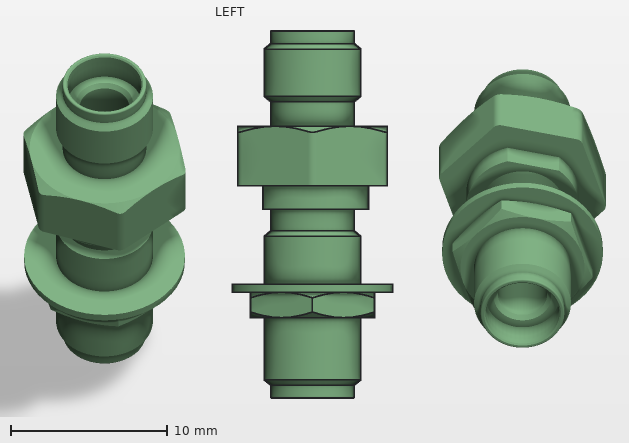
import cadquery as cq
import math

total_length = 23.47
thread_radius = 3.1
neck_radius = 2.68
thread_chamfer = 0.35
end_neck_length = 0.82

lip_radius = 0.1

upper_thread_bottom = 18.95
lower_thread_top = 10.68

body_hex_bottom = 13.57
body_hex_top = 17.37
body_hex_across_flats = 9.58
body_hex_corner_radius = 0.55

collar_radius = 3.6
collar_flat_distance = 3.17
collar_height = 1.5

washer_radius = 5.15
washer_top = 7.28
washer_thickness = 0.52
nut_height = 1.62
nut_across_flats = 7.93

hex_bevel_angle = 30

through_radius = 1.57
countersink_radius = 1.83
socket_radius = 2.37
socket_mouth_radius = 2.46
socket_mouth_depth = 0.1
socket_depth = 1.9


def cylinder(radius, bottom, top):
    return cq.Workplane("XY").workplane(offset=bottom).circle(radius).extrude(top - bottom)


def revolved(profile):
    """Solid turned about the Z axis from a closed list of (radius, height) points."""
    return cq.Workplane("XZ").polyline(profile).close().revolve(360, (0, 0), (0, 1))


def thread_section(bottom, top):
    """Thread envelope, beveled down to the neck at both ends."""
    profile = [
        (0, bottom),
        (neck_radius, bottom),
        (thread_radius, bottom + thread_chamfer),
        (thread_radius, top - thread_chamfer),
        (neck_radius, top),
        (0, top),
    ]
    return revolved(profile)


def hexagon(across_flats, bottom, height):
    """Hexagonal prism with two flats facing +Y and -Y and corners on the X axis."""
    corner_diameter = across_flats / math.cos(math.radians(30))
    return cq.Workplane("XY").workplane(offset=bottom).polygon(6, corner_diameter).extrude(height)


def bevel_top(hex_solid, across_flats, top):
    """Trim the upper corners with a cone that meets the top face on the inscribed circle."""
    flat_radius = across_flats / 2
    slope = math.tan(math.radians(hex_bevel_angle))
    apex = top + flat_radius * slope
    cone = revolved([(0, apex), (apex / slope, 0), (0, 0)])
    return hex_solid.intersect(cone)


def end_socket():
    """Cutter for the recess, tapered mouth and countersink at the top end."""
    floor = total_length - socket_depth
    countersink_bottom = floor - (countersink_radius - through_radius)
    profile = [
        (0, total_length),
        (socket_mouth_radius, total_length),
        (socket_radius, total_length - socket_mouth_depth),
        (socket_radius, floor),
        (countersink_radius, floor),
        (through_radius, countersink_bottom),
        (0, countersink_bottom),
    ]
    return revolved(profile)


def mirrored(solid, height):
    """Copy of a solid flipped across the horizontal plane at the given height."""
    return solid.mirror("XY", (0, 0, height))


barrel = cylinder(neck_radius, 0, total_length).faces("<Z or >Z").fillet(lip_radius)
upper_thread = thread_section(upper_thread_bottom, total_length - end_neck_length)
lower_thread = thread_section(end_neck_length, lower_thread_top)

body_hex = hexagon(body_hex_across_flats, body_hex_bottom, body_hex_top - body_hex_bottom)
body_hex = body_hex.edges("|Z").fillet(body_hex_corner_radius)
body_hex = bevel_top(body_hex, body_hex_across_flats, body_hex_top)

collar_bottom = body_hex_bottom - collar_height
collar = cylinder(collar_radius, collar_bottom, body_hex_bottom)
collar = collar.intersect(
    cq.Workplane("XY")
    .box(2 * collar_radius, 2 * collar_radius, collar_height, centered=(True, True, False))
    .translate((0, collar_flat_distance - collar_radius, collar_bottom))
)

nut_top = washer_top - washer_thickness
nut_middle = nut_top - nut_height / 2
washer = cylinder(washer_radius, nut_top, washer_top)
nut = hexagon(nut_across_flats, nut_top - nut_height, nut_height)
nut = bevel_top(nut, nut_across_flats, nut_top)
nut = nut.intersect(mirrored(nut, nut_middle))

result = barrel
for body in (upper_thread, lower_thread, body_hex, collar, washer, nut):
    result = result.union(body)

socket = end_socket()
result = result.cut(cylinder(through_radius, 0, total_length))
result = result.cut(socket)
result = result.cut(mirrored(socket, total_length / 2))